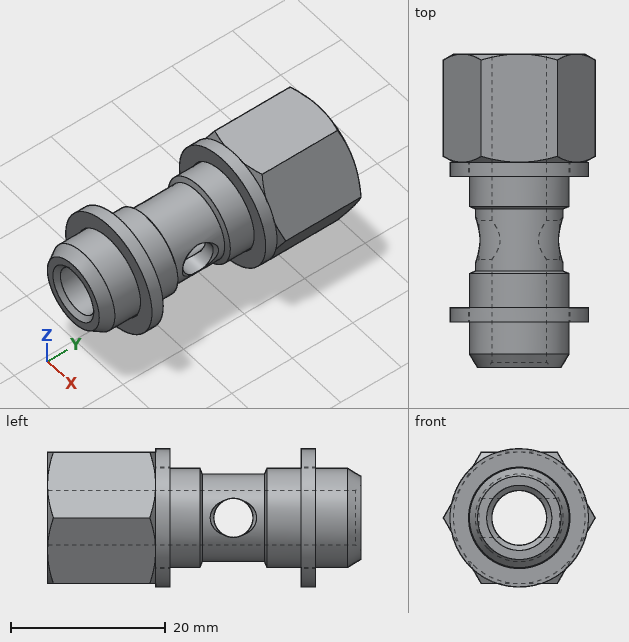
import cadquery as cq
import math

total_length = 40.5

head_length = 13.97
head_corner_diameter = 19.65
head_flat_radius = head_corner_diameter / 2 * math.cos(math.radians(30))
head_chamfer_angle = 30.0

shank_radius = 6.45
tip_radius = 5.4
tip_chamfer_length = 1.75
neck_radius = 5.65
neck_start = 12.15
neck_end = 20.8
neck_shoulder_length = 0.32

bore_radius = 3.52
bore_mouth_radius = 4.2
bore_mouth_depth = bore_mouth_radius - bore_radius

cross_hole_radius = 2.5
cross_mouth_radius = 3.0
cross_mouth_depth = cross_mouth_radius - cross_hole_radius

washer_outer_radius = 8.95
washer_inner_radius = 6.55
washer_thickness = 1.85
lower_washer_start = 5.87

head_start = total_length - head_length
upper_washer_start = head_start - washer_thickness
cross_hole_position = (neck_start + neck_end) / 2


def revolve_about_y(points):
    """Turn an outline of (radius, y) points around the Y axis."""
    return cq.Workplane("XY").polyline(points).close().revolve(360, (0, 0, 0), (0, 1, 0))


def make_head():
    """Hexagon with corners on the X axis, both ends chamfered by cones."""
    hexagon = (
        cq.Workplane("XZ", origin=(0, total_length, 0))
        .polygon(6, head_corner_diameter)
        .extrude(head_length)
    )
    corner_radius = head_corner_diameter / 2
    chamfer_length = (corner_radius - head_flat_radius) * math.tan(math.radians(head_chamfer_angle))
    envelope = revolve_about_y([
        (0, head_start),
        (head_flat_radius, head_start),
        (corner_radius, head_start + chamfer_length),
        (corner_radius, total_length - chamfer_length),
        (head_flat_radius, total_length),
        (0, total_length),
    ])
    return hexagon.intersect(envelope)


def make_shank():
    """Solid shank with a chamfered tip and a relieved neck."""
    return revolve_about_y([
        (0, 0),
        (tip_radius, 0),
        (shank_radius, tip_chamfer_length),
        (shank_radius, neck_start),
        (neck_radius, neck_start + neck_shoulder_length),
        (neck_radius, neck_end - neck_shoulder_length),
        (shank_radius, neck_end),
        (shank_radius, head_start),
        (0, head_start),
    ])


def make_bore():
    """Cutter for the axial bore and its conical mouth."""
    return revolve_about_y([
        (0, 0),
        (bore_mouth_radius, 0),
        (bore_radius, bore_mouth_depth),
        (bore_radius, total_length),
        (0, total_length),
    ])


def make_cross_hole():
    """Cutter along X, widening at 45 degrees to the neck surface on both sides."""
    cone_start = neck_radius - cross_mouth_depth
    outline = [
        (-neck_radius, 0),
        (-neck_radius, cross_mouth_radius),
        (-cone_start, cross_hole_radius),
        (cone_start, cross_hole_radius),
        (neck_radius, cross_mouth_radius),
        (neck_radius, 0),
    ]
    cutter = cq.Workplane("XY").polyline(outline).close().revolve(360, (0, 0, 0), (1, 0, 0))
    return cutter.translate((0, cross_hole_position, 0))


def make_bolt():
    return make_head().union(make_shank()).cut(make_bore()).cut(make_cross_hole())


def make_washer(start):
    """Flat ring occupying one washer thickness from y = start."""
    return revolve_about_y([
        (washer_inner_radius, start),
        (washer_outer_radius, start),
        (washer_outer_radius, start + washer_thickness),
        (washer_inner_radius, start + washer_thickness),
    ])


bolt = make_bolt()
washers = [make_washer(start) for start in (lower_washer_start, upper_washer_start)]

result = cq.Compound.makeCompound([bolt.val(), *[washer.val() for washer in washers]])